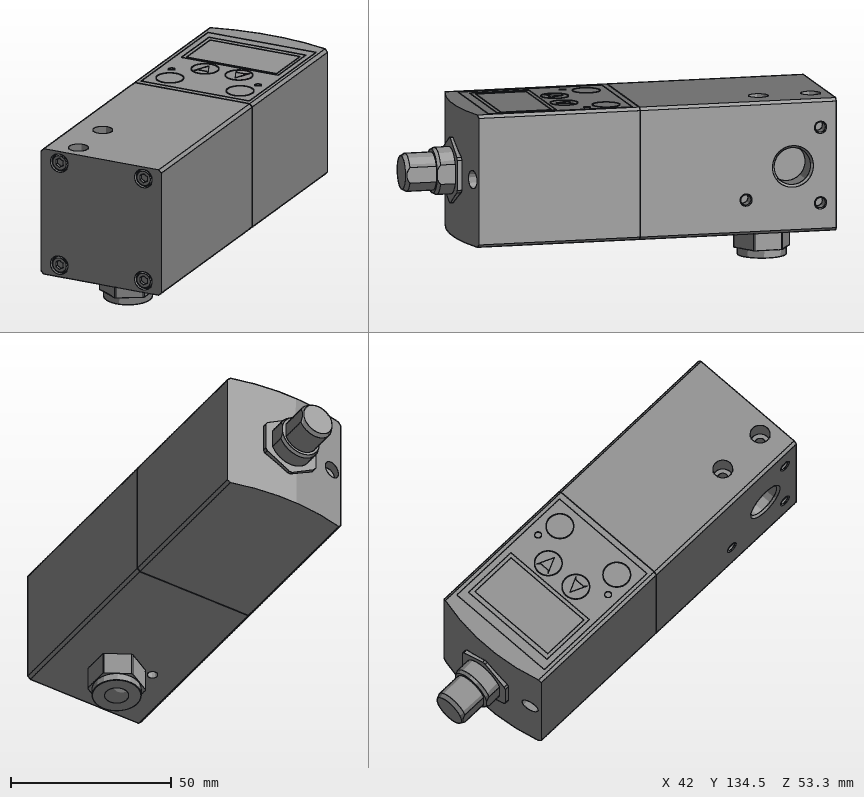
import cadquery as cq
import math

total_length = 134.5
body_side = 42.0
half_side = body_side / 2
total_height = 53.3
edge_chamfer = 1.0
crown_tip_y = 118.0
crown_side_y = 115.0
split_y = 63.1
split_groove_depth = 0.1
split_groove_width = 0.07

flange_flats = 18.4
flange_corners = 20.7
flange_top_y = 118.9
collar_diameter = 14.8
collar_flats = 13.5
collar_top_y = 124.7
collar_tip_diameter = 13.7
collar_taper = 1.1
barrel_diameter = 12.0
barrel_flats = 10.9
barrel_tip_diameter = 10.5
barrel_taper = 1.3
connector_root_y = 113.0

gland_y = 18.5
gland_flats = 15.7
gland_corners = 17.9
gland_nut_height = 7.8
gland_cap_diameter = 15.3
gland_cap_height = 2.5
gland_cap_chamfer = 0.1
dome_radius = 3.8
dome_height = total_height - body_side - gland_nut_height - gland_cap_height

relief = 0.1
line_width = 0.1
panel_width = 37.7
panel_low_y, panel_high_y = 65.1, 111.4
frame_width = 33.8
frame_low_y, frame_high_y = 89.0, 108.1
screen_width = 31.3
screen_low_y, screen_high_y = 90.2, 106.5
button_diameter = 8.7
arrow_button_x, arrow_button_y = 5.9, 83.7
key_button_x, key_button_y = 12.2, 71.8
arrow_half_width, arrow_half_height = 2.4, 2.7
arrow_foot = 1.0
lamp_x, lamp_y = 15.0, 78.7
lamp_diameter = 2.2
lamp_depth = 0.4

mount_x = -10.8
mount_ys = (5.6, 22.5)
mount_diameter = 3.2
mount_bore_diameter = 6.2
mount_bore_depth = 6.0

port_y = 14.0
port_diameter = 11.7
port_rim_diameter = 13.2
port_depth = 7.5
thread_yz = ((5.1, 12.0), (5.1, -12.0), (29.0, -10.0))
thread_diameter = 3.2
thread_rim_diameter = 3.9
thread_depth = 4.0

screw_x = 14.7
screw_z = 17.1
screw_bore_diameter = 6.0
screw_head_diameter = 5.5
screw_head_chamfer = 0.4
screw_recess = 0.3
screw_bore_depth = 2.0
screw_socket_diameter = 3.0
screw_socket_depth = 1.1

vent_x = -17.1
vent_diameter = 5.6
vent_floor_y = 113.0


def cylinder(diameter, base, direction, length):
    return cq.Workplane(cq.Solid.makeCylinder(diameter / 2, length, cq.Vector(*base), cq.Vector(*direction)))


def cone(base_diameter, end_diameter, base, direction, length):
    return cq.Workplane(
        cq.Solid.makeCone(
            base_diameter / 2, end_diameter / 2, length, cq.Vector(*base), cq.Vector(*direction)
        )
    )


def block(width, low_y, high_y, low_z, high_z):
    """Box centred on X = 0."""
    depth = high_y - low_y
    box = cq.Workplane("XY").box(width, depth, high_z - low_z, centered=(True, False, False))
    return box.translate((0, low_y, low_z))


def clipped_hexagon(flats, corners, height):
    """Hexagon prism on Z with corners along Y, its corners cut back by a round."""
    prism = cq.Workplane("XY").polygon(6, flats / math.cos(math.pi / 6)).extrude(height)
    prism = prism.rotate((0, 0, 0), (0, 0, 1), 90)
    return prism.intersect(cq.Workplane("XY").circle(corners / 2).extrude(height))


def flatted_barrel(diameter, flats, tip_diameter, taper, end_y):
    """Round barrel on Y with a tapered tip and a flat on each X side."""
    taper_y = end_y - taper
    barrel = cylinder(diameter, (0, connector_root_y, 0), (0, 1, 0), taper_y - connector_root_y)
    barrel = barrel.union(cone(diameter, tip_diameter, (0, taper_y, 0), (0, 1, 0), taper))
    return barrel.intersect(block(flats, connector_root_y, end_y, -diameter, diameter))


def make_body():
    outline = (
        cq.Workplane("XY")
        .moveTo(-half_side, 0)
        .lineTo(half_side, 0)
        .lineTo(half_side, crown_side_y)
        .threePointArc((0, crown_tip_y), (-half_side, crown_side_y))
        .close()
    )
    crowned = outline.extrude(half_side, both=True)
    bar = block(body_side, 0, total_length, -half_side, half_side).edges("|Y").chamfer(edge_chamfer)
    return crowned.intersect(bar)


def make_connector():
    flange = clipped_hexagon(flange_flats, flange_corners, flange_top_y - connector_root_y)
    flange = flange.rotate((0, 0, 0), (1, 0, 0), -90).translate((0, connector_root_y, 0))
    collar = flatted_barrel(collar_diameter, collar_flats, collar_tip_diameter, collar_taper, collar_top_y)
    barrel = flatted_barrel(barrel_diameter, barrel_flats, barrel_tip_diameter, barrel_taper, total_length)
    return flange.union(collar).union(barrel)


def make_gland():
    nut = clipped_hexagon(gland_flats, gland_corners, gland_nut_height)
    cap = (
        cq.Workplane("XY")
        .workplane(offset=gland_nut_height)
        .circle(gland_cap_diameter / 2)
        .extrude(gland_cap_height)
        .faces(">Z")
        .chamfer(gland_cap_chamfer)
    )
    sphere_radius = (dome_radius**2 + dome_height**2) / (2 * dome_height)
    dome_base = gland_nut_height + gland_cap_height
    ball = cq.Workplane("XY").sphere(sphere_radius).translate((0, 0, dome_base + dome_height - sphere_radius))
    dome = ball.intersect(cq.Workplane("XY").circle(dome_radius).extrude(dome_base + dome_height))
    gland = nut.union(cap).union(dome)
    return gland.rotate((0, 0, 0), (1, 0, 0), 180).translate((0, gland_y, -half_side))


def cut_split_groove(part):
    """Fine groove around the body where its two housings meet."""
    low_y = split_y - split_groove_width / 2
    ring = block(body_side, low_y, low_y + split_groove_width, -half_side, half_side)
    core_side = body_side - 2 * split_groove_depth
    core = block(core_side, low_y, low_y + split_groove_width, -core_side / 2, core_side / 2)
    core = core.edges("|Y").chamfer(edge_chamfer)
    return part.cut(ring.cut(core))


def cut_ring(part, diameter, x, y, top_z):
    """Fine circular groove outlining a button."""
    ring = cylinder(diameter, (x, y, top_z - relief), (0, 0, 1), relief)
    core = cylinder(diameter - 2 * line_width, (x, y, top_z - relief), (0, 0, 1), relief)
    return part.cut(ring.cut(core))


def cut_arrow(part, x, y, up, top_z):
    """Notched arrowhead; up is 1 for pointing to +Y and -1 for -Y."""
    foot_y = y - up * arrow_half_height
    arrow = (
        cq.Workplane("XY")
        .workplane(offset=top_z - relief)
        .polyline(
            [
                (x, y + up * arrow_half_height),
                (x - arrow_half_width, foot_y),
                (x - arrow_half_width + arrow_foot, foot_y + up * arrow_foot),
                (x + arrow_half_width - arrow_foot, foot_y + up * arrow_foot),
                (x + arrow_half_width, foot_y),
            ]
        )
        .close()
        .extrude(relief)
    )
    return part.cut(arrow)


def cut_keypad(part):
    panel_z = half_side - relief
    frame_z = panel_z - relief
    part = part.cut(block(panel_width, panel_low_y, panel_high_y, panel_z, half_side))
    part = part.cut(block(frame_width, frame_low_y, frame_high_y, frame_z, half_side))
    part = part.cut(block(screen_width, screen_low_y, screen_high_y, frame_z - relief, half_side))
    for side in (-1, 1):
        part = cut_ring(part, button_diameter, side * arrow_button_x, arrow_button_y, panel_z)
        part = cut_arrow(part, side * arrow_button_x, arrow_button_y, -side, panel_z)
        part = cut_ring(part, button_diameter, side * key_button_x, key_button_y, panel_z)
        lamp_base = (side * lamp_x, lamp_y, panel_z - lamp_depth)
        part = part.cut(cylinder(lamp_diameter, lamp_base, (0, 0, 1), lamp_depth))
    return part


def cut_mounting_holes(part):
    for y in mount_ys:
        part = part.cut(cylinder(mount_diameter, (mount_x, y, -half_side), (0, 0, 1), body_side))
        part = part.cut(cylinder(mount_bore_diameter, (mount_x, y, half_side), (0, 0, -1), mount_bore_depth))
    return part


def cut_side_hole(part, y, z, diameter, rim_diameter, depth):
    """Blind hole in the -X side with a 45 degree countersunk rim."""
    mouth = (-half_side, y, z)
    part = part.cut(cylinder(diameter, mouth, (1, 0, 0), depth))
    return part.cut(cone(rim_diameter, diameter, mouth, (1, 0, 0), (rim_diameter - diameter) / 2))


def cut_side_holes(part):
    part = cut_side_hole(part, port_y, 0, port_diameter, port_rim_diameter, port_depth)
    for y, z in thread_yz:
        part = cut_side_hole(part, y, z, thread_diameter, thread_rim_diameter, thread_depth)
    return part


def make_screw_head():
    """Screw head on +Y, standing in the floor of its bore, with a hexagon socket."""
    height = screw_bore_depth - screw_recess
    head = cylinder(screw_head_diameter, (0, screw_recess, 0), (0, 1, 0), height)
    head = head.faces("<Y").chamfer(screw_head_chamfer)
    socket = cq.Workplane("XZ").polygon(6, screw_socket_diameter).extrude(-screw_recess - screw_socket_depth)
    socket = socket.rotate((0, 0, 0), (0, 1, 0), 90)
    return head.cut(socket)


def add_front_screws(part):
    bore = cylinder(screw_bore_diameter, (0, 0, 0), (0, 1, 0), screw_bore_depth)
    gap = bore.cut(make_screw_head())
    for x in (-screw_x, screw_x):
        for z in (-screw_z, screw_z):
            part = part.cut(gap.translate((x, 0, z)))
    return part


def cut_vent(part):
    depth = crown_tip_y - vent_floor_y
    return part.cut(cylinder(vent_diameter, (vent_x, vent_floor_y, 0), (0, 1, 0), depth))


body = cut_vent(make_body())
body = cut_split_groove(body)
body = cut_keypad(body)
body = cut_mounting_holes(body)
body = cut_side_holes(body)
body = add_front_screws(body)
result = body.union(make_connector()).union(make_gland())